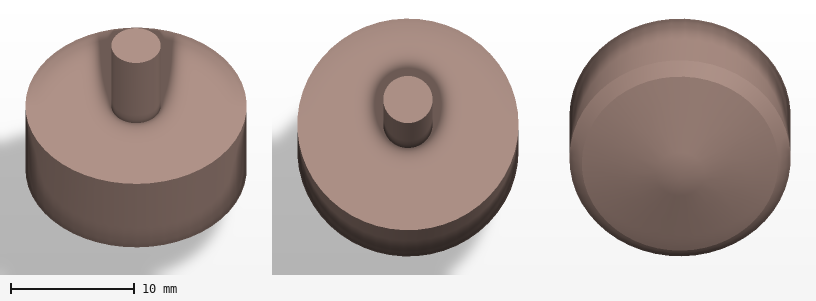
import cadquery as cq

body_diameter = 17.9
stem_diameter = 4.0
total_height = 17.5
stem_length = 6.87
tip_height = 2.45
bevel_height = 0.93
bevel_inset = 1.0

body_radius = body_diameter / 2
stem_radius = stem_diameter / 2
cone_radius = body_radius - bevel_inset
body_bottom = tip_height + bevel_height
body_top = total_height - stem_length

half_profile = (
    cq.Workplane("XZ")
    .moveTo(0, 0)
    .lineTo(cone_radius, tip_height)
    .lineTo(body_radius, body_bottom)
    .lineTo(body_radius, body_top)
    .lineTo(stem_radius, body_top)
    .lineTo(stem_radius, total_height)
    .lineTo(0, total_height)
    .close()
)

result = half_profile.revolve(360, (0, 0, 0), (0, 1, 0))